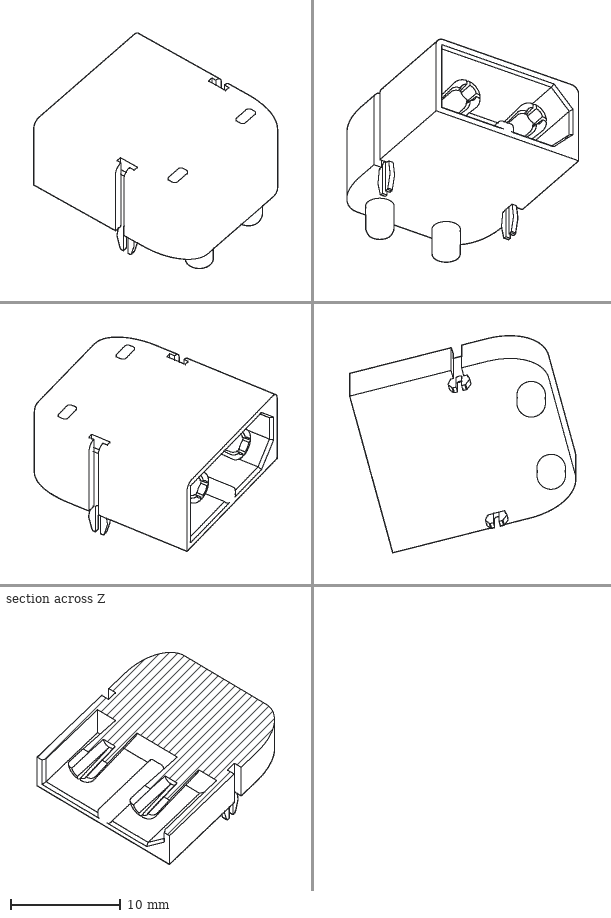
import cadquery as cq
import math

LENGTH = 18.1
WIDTH = 15.5
HEIGHT = 8.1
STRAIGHT_LENGTH = 13.09
REAR_CORNER_WIDTH = 2.97
TOP_FILLET = 0.8

WALL = 0.62
CAVITY_LIP = 0.2
LEAD_IN_LENGTH = 0.35
CAVITY_CORNER = 2.06
CAVITY_DEPTH = 7.96

RIB_WIDTH = 1.55
RIB_TOP = 1.61
RIB_FILLET = 0.33

CONTACT_Y = 3.6
CONTACT_RADIUS = 1.54
CONTACT_TIP_X = 1.0
CONTACT_FILLET = 0.52
CONTACT_DRAFT = 2.2
BORE_RADIUS = 0.85
SLIT_WIDTH = 0.35
SLIT_DEPTH = SLIT_WIDTH / 2 / math.tan(math.radians(CONTACT_DRAFT))

OVERALL_HEIGHT = 11.1
PIN_LENGTH = OVERALL_HEIGHT - HEIGHT
PIN_X = 16.13
PIN_RADIUS = 1.3
STEEP_BEVEL_WIDTH = 0.2
STEEP_BEVEL_HEIGHT = 0.45
FLAT_BEVEL_WIDTH = 0.35
FLAT_BEVEL_HEIGHT = 0.22
SHARP_RIM_FILLET = 0.16
BLUNT_RIM_FILLET = 0.33

GROOVE_X = 10.12
GROOVE_WIDTH = 1.0
GROOVE_DEPTH = 0.8
CLIP_X = 10.15
CLIP_WIDTH = 2.01
CLIP_THICKNESS = 0.49
CLIP_TOP_DROP = 1.48
CLIP_SLOT_WIDTH = 0.52
CLIP_SLOT_TOP = 0.29
CLIP_ROOT_HALF = 0.8
CLIP_BARB_HALF = 1.01
CLIP_TIP_HALF = 0.65
BARB_TOP_Z = -1.38
BARB_BOTTOM_Z = -1.57
CLIP_TIP_CHAMFER = 0.09

RECESS_X = 14.72
RECESS_Y = 4.98
RECESS_SIZE_X = 1.01
RECESS_SIZE_Y = 2.03
RECESS_DEPTH = 0.63
RECESS_CORNER_FILLET = 0.33
RECESS_FLOOR_FILLET = 0.3

HALF_WIDTH = WIDTH / 2
CAVITY_HALF = HALF_WIDTH - WALL
MID_HEIGHT = HEIGHT / 2
CLIP_Y = HALF_WIDTH - GROOVE_DEPTH - CLIP_THICKNESS / 2


def block(size_x, size_y, size_z, center_x, center_y, bottom_z):
    """Box centred in X and Y on the given point and standing on bottom_z."""
    return cq.Workplane("XY").box(size_x, size_y, size_z, centered=(True, True, False)).translate(
        (center_x, center_y, bottom_z)
    )


def housing():
    corner_length = LENGTH - STRAIGHT_LENGTH
    rear_y = HALF_WIDTH - REAR_CORNER_WIDTH
    body = (
        cq.Workplane("XY")
        .moveTo(0, -HALF_WIDTH)
        .lineTo(STRAIGHT_LENGTH, -HALF_WIDTH)
        .ellipseArc(corner_length, REAR_CORNER_WIDTH, 270, 360, startAtCurrent=True)
        .lineTo(LENGTH, rear_y)
        .ellipseArc(corner_length, REAR_CORNER_WIDTH, 0, 90, startAtCurrent=True)
        .lineTo(0, HALF_WIDTH)
        .close()
        .extrude(HEIGHT)
    )
    return body.edges(">Z").edges("not <X").fillet(TOP_FILLET)


def cavity():
    outline = [
        (CAVITY_HALF, WALL),
        (CAVITY_HALF, HEIGHT - WALL),
        (CAVITY_CORNER - CAVITY_HALF, HEIGHT - WALL),
        (-CAVITY_HALF, HEIGHT - WALL - CAVITY_CORNER),
        (-CAVITY_HALF, WALL + CAVITY_CORNER),
        (CAVITY_CORNER - CAVITY_HALF, WALL),
    ]
    mouth = cq.Workplane("YZ").polyline(outline).close()
    lead_in_angle = math.degrees(math.atan(CAVITY_LIP / LEAD_IN_LENGTH))
    lead_in = mouth.extrude(LEAD_IN_LENGTH, taper=lead_in_angle)
    chamber = cq.Workplane("YZ").polyline(outline).close().offset2D(-CAVITY_LIP).extrude(CAVITY_DEPTH)
    return lead_in.union(chamber)


def key_rib():
    rib = block(CAVITY_DEPTH, RIB_WIDTH, RIB_TOP - WALL, CAVITY_DEPTH / 2, 0, WALL)
    return rib.edges("(|X and >Z) or (|Z and <X) or (|Y and <X and >Z)").fillet(RIB_FILLET)


def contact(y):
    """Drafted round contact pointing along -X, with a tapered bore and two crossed wedge slits."""
    tip = cq.Workplane("YZ", origin=(CONTACT_TIP_X, y, MID_HEIGHT))
    post = tip.circle(CONTACT_RADIUS).extrude(CAVITY_DEPTH - CONTACT_TIP_X, taper=CONTACT_DRAFT)
    post = post.faces("<X").edges().fillet(CONTACT_FILLET)
    post = post.cut(tip.circle(BORE_RADIUS).extrude(SLIT_DEPTH, taper=CONTACT_DRAFT))
    slit = (
        cq.Workplane("XZ", origin=(CONTACT_TIP_X, y, MID_HEIGHT))
        .polyline([(0, -SLIT_WIDTH / 2), (SLIT_DEPTH, 0), (0, SLIT_WIDTH / 2)])
        .close()
        .extrude(2 * CONTACT_RADIUS, both=True)
    )
    crossed_slit = slit.rotate((0, y, MID_HEIGHT), (1, y, MID_HEIGHT), 90)
    return post.cut(slit).cut(crossed_slit)


def solder_pin(y, bevel_width, bevel_height, upper_fillet, lower_fillet):
    """Round pin with a bevel around its lower end and both rims of the bevel rounded."""
    pin = (
        cq.Workplane("XZ")
        .moveTo(0, WALL)
        .lineTo(PIN_RADIUS, WALL)
        .lineTo(PIN_RADIUS, bevel_height - PIN_LENGTH)
        .lineTo(PIN_RADIUS - bevel_width, -PIN_LENGTH)
        .lineTo(0, -PIN_LENGTH)
        .close()
        .revolve(360, (0, 0, 0), (0, 1, 0))
    )
    pin = pin.edges("%CIRCLE").edges(">>Z[-2]").fillet(upper_fillet)
    pin = pin.faces("<Z").edges().fillet(lower_fillet)
    return pin.translate((PIN_X, y, 0))


def clip_pocket(side):
    """Side groove over the full height, opening into the wider pocket above the clip."""
    groove = block(
        GROOVE_WIDTH, GROOVE_DEPTH, HEIGHT, GROOVE_X, side * (HALF_WIDTH - GROOVE_DEPTH / 2), 0
    )
    pocket = block(
        CLIP_WIDTH, CLIP_THICKNESS, CLIP_TOP_DROP, CLIP_X, side * CLIP_Y, HEIGHT - CLIP_TOP_DROP
    )
    return groove.union(pocket)


def clip_legs(side):
    half = [
        (CLIP_ROOT_HALF, 0),
        (CLIP_BARB_HALF, BARB_TOP_Z),
        (CLIP_BARB_HALF, BARB_BOTTOM_Z),
        (CLIP_TIP_HALF, CLIP_TIP_CHAMFER - PIN_LENGTH),
        (CLIP_TIP_HALF - CLIP_TIP_CHAMFER, -PIN_LENGTH),
    ]
    outline = half + [(-x, z) for x, z in reversed(half)]
    legs = cq.Workplane("XZ").polyline(outline).close().extrude(CLIP_THICKNESS / 2, both=True)
    return legs.translate((CLIP_X, side * CLIP_Y, 0))


def clip_slot(side):
    """Round-topped slot that parts the two legs of a clip."""
    return (
        cq.Workplane("XZ", origin=(CLIP_X, side * CLIP_Y, -PIN_LENGTH))
        .slot2D(2 * (CLIP_SLOT_TOP + PIN_LENGTH), CLIP_SLOT_WIDTH, 90)
        .extrude(CLIP_THICKNESS / 2, both=True)
    )


def top_recess(side):
    recess = block(
        RECESS_SIZE_X, RECESS_SIZE_Y, RECESS_DEPTH, RECESS_X, side * RECESS_Y, HEIGHT - RECESS_DEPTH
    )
    return recess.edges("|Z").fillet(RECESS_CORNER_FILLET).faces("<Z").edges().fillet(RECESS_FLOOR_FILLET)


result = housing().cut(cavity()).union(key_rib())
for side in (-1, 1):
    result = result.union(contact(side * CONTACT_Y))
    result = result.cut(clip_pocket(side)).union(clip_legs(side)).cut(clip_slot(side))
    result = result.cut(top_recess(side))
steep_pin = solder_pin(
    CONTACT_Y, STEEP_BEVEL_WIDTH, STEEP_BEVEL_HEIGHT, BLUNT_RIM_FILLET, SHARP_RIM_FILLET
)
flat_pin = solder_pin(
    -CONTACT_Y, FLAT_BEVEL_WIDTH, FLAT_BEVEL_HEIGHT, SHARP_RIM_FILLET, BLUNT_RIM_FILLET
)
result = result.union(steep_pin).union(flat_pin)